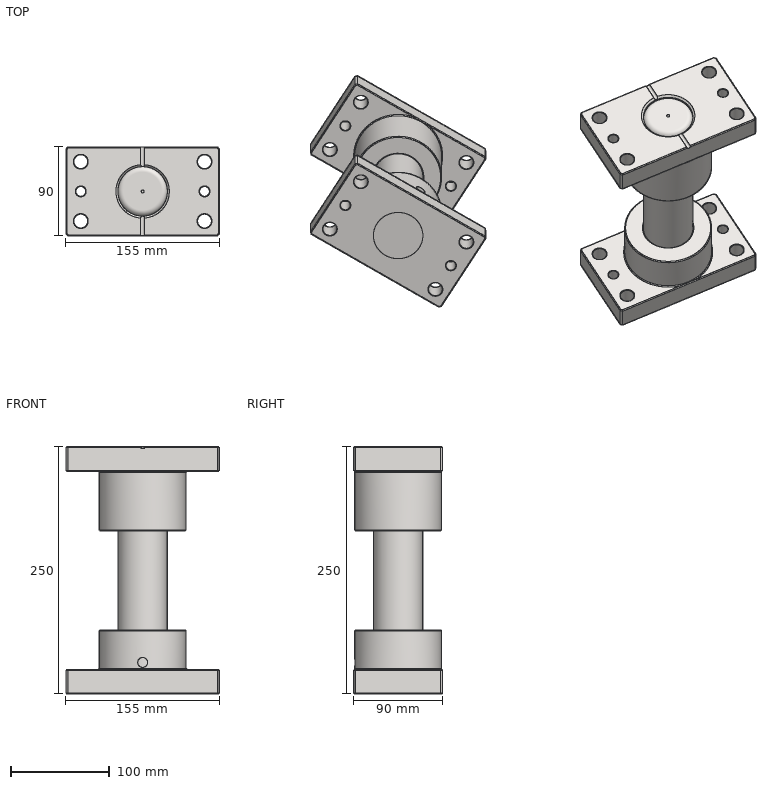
import cadquery as cq

total_height = 250.0
plate_length = 155.0
plate_width = 90.0
plate_thickness = 25.0
plate_corner_chamfer = 2.0
plate_edge_chamfer = 1.0

hub_diameter = 88.0
upper_hub_height = 60.0
lower_hub_height = 40.0
hub_edge_chamfer = 1.0
hub_root_fillet = 1.0

pin_diameter = 50.0
pin_end_radius = 5.5
pin_center_diameter = 3.0
pin_center_depth = pin_center_diameter / 2
bore_hub_chamfer = 1.0
bore_plate_chamfer = 2.0

hole_spacing_x = 125.0
mounting_spacing_y = 60.0
mounting_diameter = 14.0
dowel_diameter = 10.0
hole_chamfer = 0.5

groove_radius = 2.0
cross_hole_diameter = 10.0
cross_hole_height = 7.0


def cone(radius, depth, z, x=0.0, y=0.0):
    """45 degree cutter: `radius` at height z, shrinking by |depth| at z + depth."""
    end_radius = radius - abs(depth)
    direction = cq.Vector(0, 0, depth)
    return cq.Solid.makeCone(radius, end_radius, abs(depth), cq.Vector(x, y, z), direction)


def plate():
    """Rectangular plate standing on z = 0, chamfered on every edge."""
    block = cq.Workplane("XY").box(plate_length, plate_width, plate_thickness, centered=(True, True, False))
    block = block.edges("|Z").chamfer(plate_corner_chamfer)
    return block.faces("<Z or >Z").edges().chamfer(plate_edge_chamfer)


def hub(height):
    """Round boss on top of the plate, chamfered at its free end."""
    boss = cq.Workplane("XY").workplane(offset=plate_thickness).circle(hub_diameter / 2).extrude(height)
    return boss.faces(">Z").edges().chamfer(hub_edge_chamfer)


def hub_root():
    """Concave fillet ring at the foot of the hub, trimmed to the flat face of the plate."""
    hub_radius = hub_diameter / 2
    outer_radius = hub_radius + hub_root_fillet
    ring_top = plate_thickness + hub_root_fillet
    flat_width = plate_width - 2 * plate_edge_chamfer
    arc_center = cq.Vector(outer_radius, ring_top)
    arc_middle = arc_center - cq.Vector(1, 1).normalized() * hub_root_fillet
    ring = (
        cq.Workplane("XZ")
        .moveTo(pin_diameter / 2, plate_thickness)
        .lineTo(outer_radius, plate_thickness)
        .threePointArc((arc_middle.x, arc_middle.y), (hub_radius, ring_top))
        .lineTo(pin_diameter / 2, ring_top)
        .close()
        .revolve(360, (0, 0, 0), (0, 1, 0))
    )
    trim = cq.Workplane("XY").box(plate_length, flat_width, 2 * ring_top)
    return ring.intersect(trim)


def cut_chamfered_hole(body, x, y, diameter):
    """Through hole in the plate, chamfered at both faces."""
    rim_radius = diameter / 2 + hole_chamfer
    body = body.cut(cq.Solid.makeCylinder(diameter / 2, plate_thickness, cq.Vector(x, y, 0)))
    body = body.cut(cone(rim_radius, hole_chamfer, 0, x, y))
    return body.cut(cone(rim_radius, -hole_chamfer, plate_thickness, x, y))


def flange(hub_height):
    """Plate with its hub, hole pattern and pin bore, standing on z = 0 with the hub up."""
    height = plate_thickness + hub_height
    pin_radius = pin_diameter / 2
    body = plate().union(hub(hub_height)).union(hub_root())
    body = body.cut(cq.Solid.makeCylinder(pin_radius, height))
    body = body.cut(cone(pin_radius + bore_hub_chamfer, -bore_hub_chamfer, height))
    for side in (-1, 1):
        x = side * hole_spacing_x / 2
        body = cut_chamfered_hole(body, x, 0, dowel_diameter)
        for end in (-1, 1):
            body = cut_chamfered_hole(body, x, end * mounting_spacing_y / 2, mounting_diameter)
    return body


def make_lower_flange():
    """Lower flange, with a cross hole running from the -Y side of the hub into the bore."""
    hole_center = cq.Vector(0, 0, plate_thickness + cross_hole_height)
    cross_hole = cq.Solid.makeCylinder(
        cross_hole_diameter / 2, plate_width / 2, hole_center, cq.Vector(0, -1, 0)
    )
    return flange(lower_hub_height).cut(cross_hole)


def make_upper_flange():
    """Upper flange, hub down, with a bore chamfer and a half-round groove in its top face."""
    body = flange(upper_hub_height).mirror("XY").translate((0, 0, total_height))
    body = body.cut(cone(pin_diameter / 2 + bore_plate_chamfer, -bore_plate_chamfer, total_height))
    groove_start = cq.Vector(0, -plate_width / 2, total_height)
    groove = cq.Solid.makeCylinder(groove_radius, plate_width, groove_start, cq.Vector(0, 1, 0))
    return body.cut(groove)


def make_pin():
    """Full-height pin with a rounded top end and a small conical center mark."""
    body = cq.Workplane("XY").circle(pin_diameter / 2).extrude(total_height)
    body = body.faces(">Z").edges().fillet(pin_end_radius)
    return body.cut(cone(pin_center_diameter / 2, -pin_center_depth, total_height))


lower_flange = make_lower_flange()
upper_flange = make_upper_flange()
pin = make_pin()

result = cq.Compound.makeCompound([lower_flange.val(), upper_flange.val(), pin.val()])